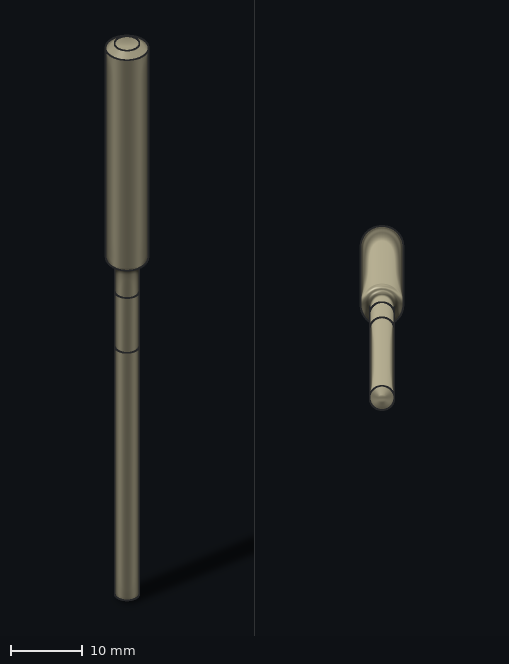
import cadquery as cq
import math

TOTAL_LENGTH = 94.0
SHOULDER_Z = 57.9
SHOULDER_HEIGHT = 1.4
JOINT_Z = 52.0
FLUTE_TOP_Z = 42.7

SHANK_DIAMETER = 6.0
DRILL_DIAMETER = 3.5
RELIEF_DEPTH = 0.03

TOP_CHAMFER_ANGLE = 30.0
POINT_ANGLE = 140.0

shank_radius = SHANK_DIAMETER / 2
drill_radius = DRILL_DIAMETER / 2
relief_radius = drill_radius - RELIEF_DEPTH
radial_step = shank_radius - drill_radius
top_chamfer_height = radial_step * math.tan(math.radians(TOP_CHAMFER_ANGLE))
point_height = drill_radius / math.tan(math.radians(POINT_ANGLE / 2))


def revolve_about_z(half_profile):
    """Turn a closed radius-height outline in the XZ plane into a solid about Z."""
    return half_profile.revolve(360, (0, 0), (0, 1))


def make_shank():
    """Gripping cylinder whose shoulder curves, convex then concave, into a short neck."""
    neck_top_z = SHOULDER_Z - SHOULDER_HEIGHT
    blend_middle = ((drill_radius + shank_radius) / 2, (neck_top_z + SHOULDER_Z) / 2)
    half_profile = (
        cq.Workplane("XZ")
        .moveTo(0, JOINT_Z)
        .lineTo(drill_radius, JOINT_Z)
        .lineTo(drill_radius, neck_top_z)
        .tangentArcPoint(blend_middle, relative=False)
        .tangentArcPoint((shank_radius, SHOULDER_Z), relative=False)
        .lineTo(shank_radius, TOTAL_LENGTH - top_chamfer_height)
        .lineTo(drill_radius, TOTAL_LENGTH)
        .lineTo(0, TOTAL_LENGTH)
        .close()
    )
    return revolve_about_z(half_profile)


def make_drill():
    """Relieved stem, full-diameter cutting section and conical point."""
    half_profile = cq.Workplane("XZ").polyline([
        (0, 0),
        (drill_radius, point_height),
        (drill_radius, FLUTE_TOP_Z),
        (relief_radius, FLUTE_TOP_Z),
        (relief_radius, JOINT_Z),
        (0, JOINT_Z),
    ]).close()
    return revolve_about_z(half_profile)


shank = make_shank()
drill = make_drill()

result = cq.Compound.makeCompound([shank.val(), drill.val()])